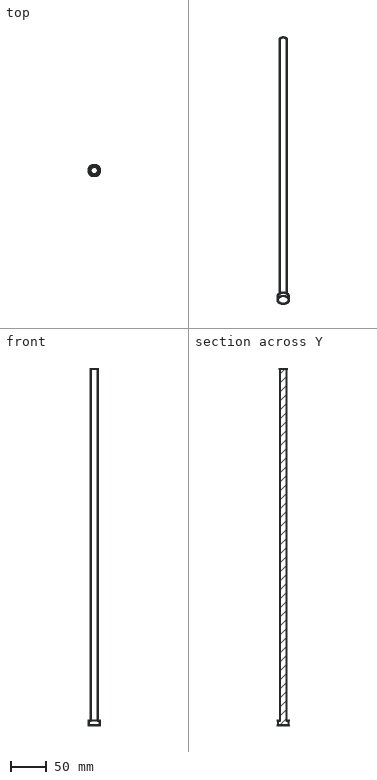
import cadquery as cq

TOTAL_LENGTH = 500.0
HEAD_DIAMETER = 16.0
HEAD_HEIGHT = 6.5
SHAFT_DIAMETER = 10.5


def make_head():
    """Disc-shaped head with its underside at Z = 0."""
    return cq.Workplane("XY").circle(HEAD_DIAMETER / 2).extrude(HEAD_HEIGHT)


def make_shaft():
    """Plain shaft rising from the head to the tip of the pin."""
    shaft_length = TOTAL_LENGTH - HEAD_HEIGHT
    return (
        cq.Workplane("XY")
        .workplane(offset=HEAD_HEIGHT)
        .circle(SHAFT_DIAMETER / 2)
        .extrude(shaft_length)
    )


result = make_head().union(make_shaft())